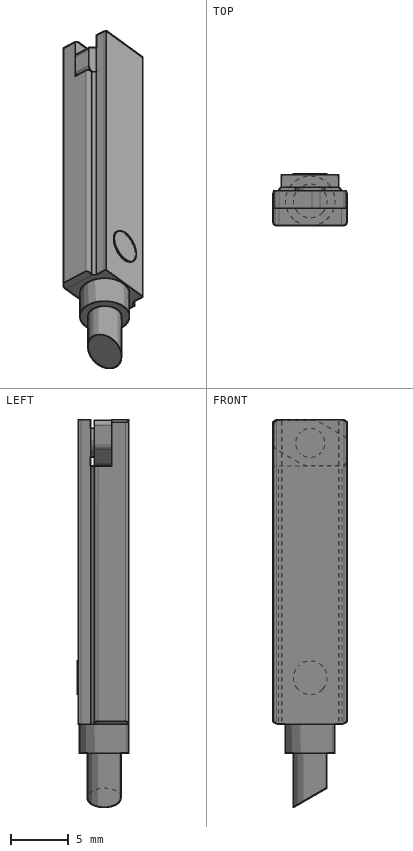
import cadquery as cq
import math

total_height = 33.48
cable_diameter = 2.9
cable_cut_angle = 30.0
collar_diameter = 4.3
collar_bottom = 4.7
body_bottom = 7.2
body_height = total_height - body_bottom
axis_y = collar_diameter / 2

body_width = 6.4
body_depth = 3.0
body_edge_radius = 0.3
end_round_width = 0.5
end_round_height = 0.25
neck_front_width = 5.5
plate_width = 5.0
plate_front = 3.3
plate_back = 4.4
plate_bevel_depth = 0.2
plate_bevel_width = 0.05

pad_diameter = 2.9
pad_height = 0.1
pad_z = 11.2

pocket_front = 1.5
pocket_depth = 4.0
lever_back = body_depth
lever_clearance = 0.05
lever_width = 6.3
lever_slope = 30.0
lever_corner_radius = 0.45
lever_crown_radius = 1.35
pivot_diameter = 2.5
pocket_floor = total_height - pocket_depth
pivot_z = total_height - pocket_depth / 2


def box(width, front, back, bottom, top):
    """Box centred on X between the given Y and Z limits."""
    centre = (0, (front + back) / 2, (bottom + top) / 2)
    return cq.Workplane("XY").box(width, back - front, top - bottom).translate(centre)


def cylinder_along_y(diameter, z, front, back):
    plane = cq.Workplane("XZ", origin=(0, front, z))
    return plane.circle(diameter / 2).extrude(front - back)


def front_block():
    block = box(body_width, 0, body_depth, body_bottom, total_height)
    block = block.edges("|Z").fillet(body_edge_radius)
    arc_radius = (end_round_width**2 + end_round_height**2) / (2 * end_round_height)
    half = body_width / 2
    shoulder = half - end_round_width
    low = body_bottom + end_round_height
    high = total_height - end_round_height
    outline = (
        cq.Workplane("XZ")
        .moveTo(-shoulder, body_bottom)
        .lineTo(shoulder, body_bottom)
        .radiusArc((half, low), -arc_radius)
        .lineTo(half, high)
        .radiusArc((shoulder, total_height), -arc_radius)
        .lineTo(-shoulder, total_height)
        .radiusArc((-half, high), -arc_radius)
        .lineTo(-half, low)
        .radiusArc((-shoulder, body_bottom), -arc_radius)
        .close()
        .extrude(-body_depth)
    )
    return block.intersect(outline)


def neck_and_plate():
    half = plate_width / 2
    bevel_start = plate_back - plate_bevel_depth
    right_side = [
        (neck_front_width / 2, body_depth),
        (half, plate_front),
        (half, bevel_start),
        (half - plate_bevel_width, plate_back),
    ]
    left_side = [(-x, y) for x, y in reversed(right_side)]
    section = cq.Workplane("XY", origin=(0, 0, body_bottom))
    return section.polyline(right_side + left_side).close().extrude(body_height)


def lever():
    """Rocker outline with half-turn symmetry about the pivot."""
    slope = math.radians(lever_slope)
    half_height = pocket_depth / 2 - lever_clearance
    half_width = lever_width / 2
    crown_x = half_height * math.tan(slope / 2)
    drop = (half_width - crown_x) * math.tan(slope)
    upper = [
        (-half_width, half_height),
        (crown_x, half_height),
        (half_width, half_height - drop),
    ]
    lower = [(-x, -z) for x, z in upper]
    rocker = (
        cq.Workplane("XZ", origin=(0, pocket_front, pivot_z))
        .polyline(upper + lower)
        .close()
        .extrude(pocket_front - lever_back)
    )
    rocker = rocker.edges("|Y and (<X or >X)").fillet(lever_corner_radius)
    crowns = cq.selectors.BoxSelector(
        (-half_width / 2, pocket_front - 0.35, pocket_floor - 0.35),
        (half_width / 2, lever_back + 0.35, total_height + 0.35),
    )
    return rocker.edges("|Y").edges(crowns).fillet(lever_crown_radius)


def cable():
    collar = (
        cq.Workplane("XY", origin=(0, axis_y, collar_bottom))
        .circle(collar_diameter / 2)
        .extrude(body_bottom - collar_bottom)
    )
    core = cq.Workplane("XY", origin=(0, axis_y, 0)).circle(cable_diameter / 2).extrude(collar_bottom)
    radius = cable_diameter / 2
    rise = cable_diameter * math.tan(math.radians(cable_cut_angle))
    wedge = (
        cq.Workplane("XZ")
        .polyline([(-radius, 0), (radius, 0), (radius, rise)])
        .close()
        .extrude(-collar_diameter)
    )
    return collar.union(core.cut(wedge))


pocket = box(body_width, pocket_front, plate_front, pocket_floor, total_height)
housing = front_block().union(neck_and_plate()).cut(pocket)
pivot = cylinder_along_y(pivot_diameter, pivot_z, pocket_front, plate_front)
pad = cylinder_along_y(pad_diameter, pad_z, plate_back, plate_back + pad_height)

result = housing.union(lever()).union(pivot).union(pad).union(cable())